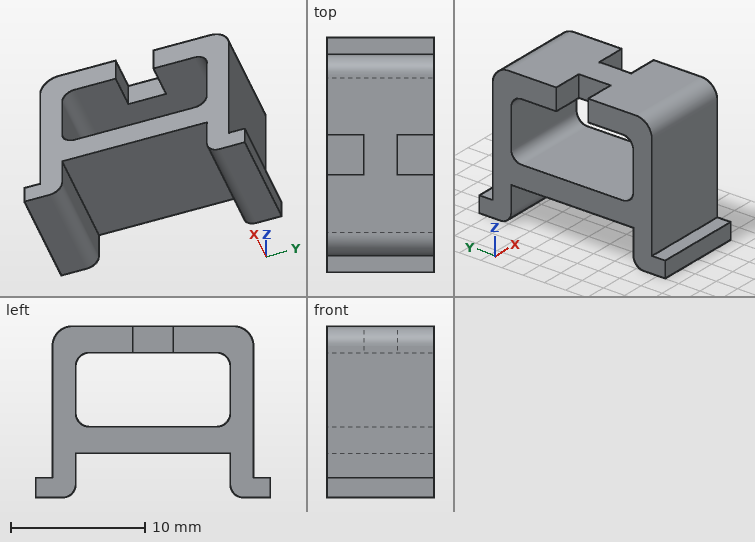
import cadquery as cq

length = 8.0
foot_span = 17.5
height = 12.8
body_width = 15.0
inner_width = 11.5
wall_thickness = 2.0
window_height = 5.5
foot_height = 1.5
body_radius = 1.5
window_radius = 1.0
foot_radius = 1.0
notch_width = 3.0
web_width = 2.5

window_top = height - wall_thickness
window_bottom = window_top - window_height
bar_bottom = window_bottom - wall_thickness
notch_depth = (length - web_width) / 2


def centered_box(x_size, y_size, z_bottom, z_top):
    """Box centered on X = Y = 0 between two heights."""
    box = cq.Workplane("XY").box(x_size, y_size, z_top - z_bottom, centered=(True, True, False))
    return box.translate((0, 0, z_bottom))


def make_body():
    """Block with rounded top edges, standing on a full-width foot plate."""
    block = centered_box(length, body_width, 0, height).edges("|X and >Z").fillet(body_radius)
    return block.union(centered_box(length, foot_span, 0, foot_height))


def make_window():
    """Rounded opening through the whole length."""
    window = centered_box(length, inner_width, window_bottom, window_top)
    return window.edges("|X").fillet(window_radius)


def cut_leg_gap(body):
    """Open the space below the cross bar and round the inner bottom edges of the legs."""
    body = body.cut(centered_box(length, inner_width, 0, bar_bottom))
    inner_edges = cq.selectors.BoxSelector(
        (-length, -inner_width / 2 - foot_radius, -foot_radius),
        (length, inner_width / 2 + foot_radius, foot_radius),
    )
    return body.edges("|X").edges(inner_edges).fillet(foot_radius)


def make_notch(side):
    """Notch through the top wall, open at the end face on the given side of X."""
    notch = centered_box(notch_depth, notch_width, window_top, height)
    return notch.translate((side * (length - notch_depth) / 2, 0, 0))


result = cut_leg_gap(make_body()).cut(make_window())
for side in (-1, 1):
    result = result.cut(make_notch(side))